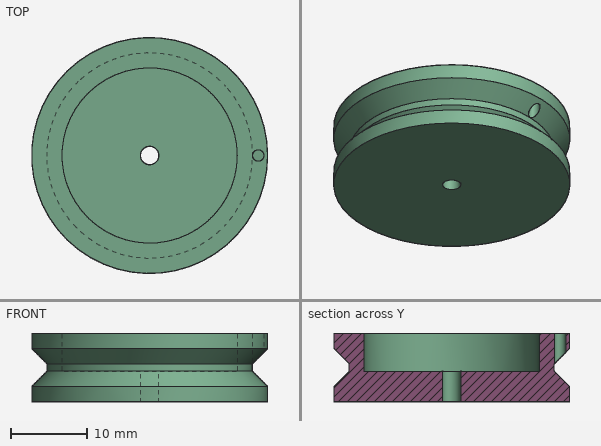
import cadquery as cq

outer_diameter = 31.0
height = 9.0

groove_diameter = 27.0
rim_height = 2.0
groove_depth = (outer_diameter - groove_diameter) / 2
cone_height = groove_depth

recess_diameter = 23.0
recess_depth = 5.0
axle_hole_diameter = 2.4

cord_hole_diameter = 1.5
cord_hole_offset = 14.25


def make_wheel():
    """Revolve the grooved wheel body about Z, starting on the +X side."""
    outer_radius = outer_diameter / 2
    groove_radius = groove_diameter / 2
    profile = (
        cq.Workplane("XZ")
        .moveTo(0, 0)
        .lineTo(outer_radius, 0)
        .lineTo(outer_radius, rim_height)
        .lineTo(groove_radius, rim_height + cone_height)
        .lineTo(groove_radius, height - rim_height - cone_height)
        .lineTo(outer_radius, height - rim_height)
        .lineTo(outer_radius, height)
        .lineTo(0, height)
        .close()
    )
    return profile.revolve(360, (0, 0, 0), (0, 1, 0))


def hole_cutter(diameter, depth, x=0):
    """Cylinder reaching down from the top face by the given depth."""
    return cq.Workplane("XY", origin=(x, 0, height)).circle(diameter / 2).extrude(-depth)


recess = hole_cutter(recess_diameter, recess_depth)
axle_hole = hole_cutter(axle_hole_diameter, height)
cord_hole = hole_cutter(cord_hole_diameter, height / 2, cord_hole_offset)

result = make_wheel().cut(recess).cut(axle_hole).cut(cord_hole)